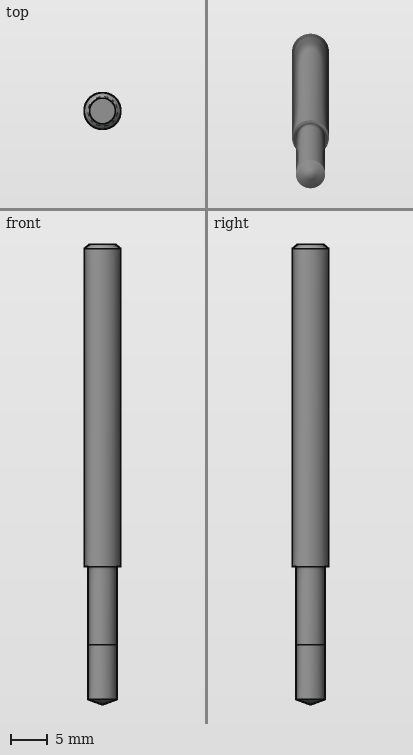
import cadquery as cq
import math

total_length = 62.75
shank_diameter = 5.0
cutter_diameter = 4.0

cutting_length = 8.15
shank_start = 18.8
point_angle = 140.0

chamfer_height = 0.6
top_diameter = 3.5

shank_radius = shank_diameter / 2
cutter_radius = cutter_diameter / 2
top_radius = top_diameter / 2
point_height = cutter_radius / math.tan(math.radians(point_angle / 2))


def make_shank():
    """Chamfered shank with the reduced neck that reaches down to the cutter."""
    profile = [
        (0, cutting_length),
        (cutter_radius, cutting_length),
        (cutter_radius, shank_start),
        (shank_radius, shank_start),
        (shank_radius, total_length - chamfer_height),
        (top_radius, total_length),
        (0, total_length),
    ]
    return cq.Workplane("XZ").polyline(profile).close().revolve(360, (0, 0), (0, 1))


def make_cutter():
    """Cylindrical cutting end with a conical point at the origin."""
    profile = [
        (0, 0),
        (cutter_radius, point_height),
        (cutter_radius, cutting_length),
        (0, cutting_length),
    ]
    return cq.Workplane("XZ").polyline(profile).close().revolve(360, (0, 0), (0, 1))


shank = make_shank()
cutter = make_cutter()

result = cq.Compound.makeCompound([shank.val(), cutter.val()])